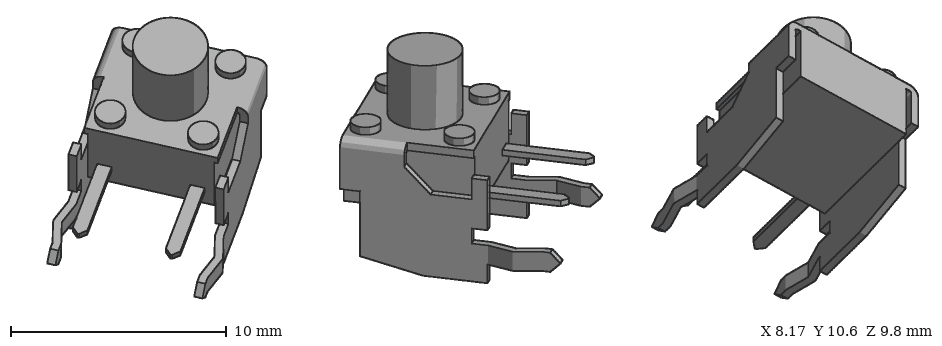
import cadquery as cq
import math


total_height = 9.8
tip_y = -7.5
back_y = 3.1
sheet = 0.4

housing_front_y = -3.2
housing_top_z = 6.51
housing_bottom_z = 3.03
flange_half_width = 3.22
body_half_width = 3.05
half_pitch = 2.25

button_radius = 1.75
peg_radius = 0.71
peg_height = 0.39

pin_width = 0.7
pin_thickness = 0.3
pin_middle_z = 3.98
pin_chamfer = 0.31

bracket_outer_x = 3.75
bracket_inner_x = bracket_outer_x - sheet
bend_outer_radius = bracket_outer_x - flange_half_width
bend_inner_radius = bend_outer_radius - sheet
bracket_front_y = -4.0
notch_y = -3.23
tab_top_z = 5.32
tab_bottom_z = 2.73
shoulder_z = 4.24
slope_size = 1.27
back_step_y = 2.12
back_step_z = 3.98
toe_y = -0.91
heel_z = 0.63

finger_bottom_z = 0.96
finger_top_z = 1.96
finger_point = (finger_top_z - finger_bottom_z) / 2
kink_angle = math.radians(15)
kink_start_y = -4.03
kink_half_length = 1.3


def make_block():
    """T-shaped middle of the housing, with a wide flange on top."""
    depth = back_y - housing_front_y
    middle_y = (back_y + housing_front_y) / 2
    body_height = housing_top_z - sheet - housing_bottom_z
    body = (
        cq.Workplane("XY", origin=(0, middle_y, housing_bottom_z))
        .rect(2 * body_half_width, depth)
        .extrude(body_height)
    )
    flange = (
        cq.Workplane("XY", origin=(0, middle_y, housing_top_z - sheet))
        .rect(2 * flange_half_width, depth)
        .extrude(sheet)
    )
    return body.union(flange)


def make_pin(center_x):
    """Flat terminal pin, standing out from the housing front, with a chamfered tip."""
    length = housing_front_y - tip_y
    return (
        cq.Workplane("XY", origin=(center_x, (housing_front_y + tip_y) / 2, pin_middle_z))
        .box(pin_width, length, pin_thickness)
        .edges("|Z and <Y")
        .chamfer(pin_chamfer)
    )


def bent_strip():
    """Vertical sheet whose upper end bends inwards to the edge of the housing flange."""
    bend_z = housing_top_z - bend_outer_radius
    diagonal = math.sqrt(0.5)

    def bend_middle(radius):
        return (flange_half_width + radius * diagonal, bend_z + radius * diagonal)

    return (
        cq.Workplane("XZ", origin=(0, back_y, 0))
        .moveTo(bracket_inner_x, 0)
        .lineTo(bracket_outer_x, 0)
        .lineTo(bracket_outer_x, bend_z)
        .threePointArc(bend_middle(bend_outer_radius), (flange_half_width, housing_top_z))
        .lineTo(flange_half_width, housing_top_z - sheet)
        .threePointArc(bend_middle(bend_inner_radius), (bracket_inner_x, bend_z))
        .close()
        .extrude(back_y - bracket_front_y)
    )


def side_outline():
    """Prism with the outline of a bracket seen along X."""
    outline = [
        (back_y, housing_top_z),
        (back_y, back_step_z),
        (back_step_y, back_step_z),
        (back_step_y, heel_z),
        (toe_y, 0),
        (bracket_front_y, 0),
        (bracket_front_y, finger_top_z),
        (notch_y, finger_top_z),
        (notch_y, tab_bottom_z),
        (bracket_front_y, tab_bottom_z),
        (bracket_front_y, tab_top_z),
        (notch_y, tab_top_z),
        (notch_y, shoulder_z),
        (-slope_size, shoulder_z),
        (0, shoulder_z + slope_size),
        (0, housing_top_z),
    ]
    return cq.Workplane("YZ").polyline(outline).close().extrude(bracket_outer_x)


def make_finger():
    """Spring finger that kinks outwards, returns to the bracket plane and ends in a point."""
    across = sheet * math.cos(kink_angle)
    along = sheet * math.sin(kink_angle)
    kink_peak_y = kink_start_y - kink_half_length
    kink_end_y = kink_peak_y - kink_half_length
    peak_inner_x = bracket_outer_x - across + (kink_half_length - along) * math.tan(kink_angle)
    half_across = sheet * math.cos(kink_angle / 2)
    half_along = sheet * math.sin(kink_angle / 2)

    strip = (
        cq.Workplane("XY", origin=(0, 0, finger_bottom_z))
        .moveTo(bracket_outer_x, bracket_front_y)
        .lineTo(bracket_outer_x, kink_start_y)
        .lineTo(peak_inner_x + across, kink_peak_y + along)
        .threePointArc((peak_inner_x + sheet, kink_peak_y), (peak_inner_x + across, kink_peak_y - along))
        .lineTo(bracket_outer_x, kink_end_y)
        .lineTo(bracket_outer_x, tip_y)
        .lineTo(bracket_inner_x, tip_y)
        .lineTo(bracket_inner_x, kink_end_y)
        .threePointArc(
            (bracket_outer_x - half_across, kink_end_y + half_along),
            (bracket_outer_x - across, kink_end_y + along),
        )
        .lineTo(peak_inner_x, kink_peak_y)
        .lineTo(bracket_outer_x - across, kink_start_y - along)
        .threePointArc(
            (bracket_outer_x - half_across, kink_start_y - half_along),
            (bracket_inner_x, kink_start_y),
        )
        .lineTo(bracket_inner_x, bracket_front_y)
        .close()
        .extrude(finger_top_z - finger_bottom_z)
    )
    pointed_outline = [
        (bracket_front_y, finger_bottom_z),
        (tip_y + finger_point, finger_bottom_z),
        (tip_y, finger_bottom_z + finger_point),
        (tip_y + finger_point, finger_top_z),
        (bracket_front_y, finger_top_z),
    ]
    reach = peak_inner_x + sheet
    return strip.intersect(cq.Workplane("YZ").polyline(pointed_outline).close().extrude(reach))


def make_bracket(side):
    """Bent sheet bracket on the +X (side = 1) or -X (side = -1) side of the housing."""
    bracket = bent_strip().intersect(side_outline()).union(make_finger())
    if side < 0:
        bracket = bracket.mirror("YZ")
    return bracket


def make_housing():
    """Block joined with its pair of pins and its pair of brackets as one solid."""
    housing = make_block()
    for side in (-1, 1):
        housing = housing.union(make_pin(side * half_pitch)).union(make_bracket(side))
    return housing


def make_button():
    """Round plunger standing on top of the housing."""
    return (
        cq.Workplane("XY", origin=(0, 0, housing_top_z))
        .circle(button_radius)
        .extrude(total_height - housing_top_z)
    )


def make_peg(center_x, center_y):
    """Low round peg standing on top of the housing."""
    return (
        cq.Workplane("XY", origin=(center_x, center_y, housing_top_z))
        .circle(peg_radius)
        .extrude(peg_height)
    )


housing = make_housing()
button = make_button()
pegs = [
    make_peg(side_x * half_pitch, side_y * half_pitch)
    for side_x in (-1, 1)
    for side_y in (-1, 1)
]

result = cq.Compound.makeCompound([
    *housing.solids().vals(),
    button.val(),
    *[peg.val() for peg in pegs],
])